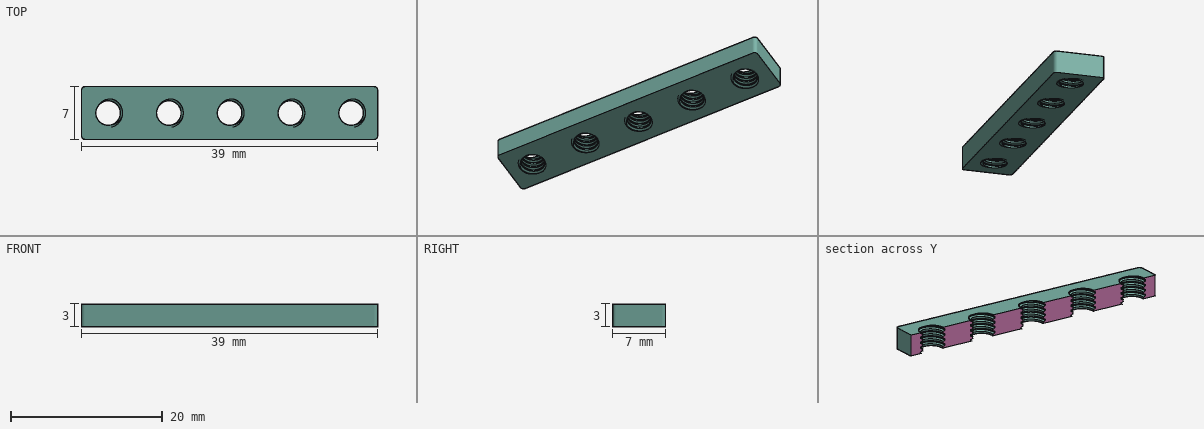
import cadquery as cq

length = 39.0
width = 7.0
height = 3.0
corner_radius = 0.45

hole_count = 5
hole_spacing = 8.0
bore_radius = 1.6

pitch = 0.7
groove_depth = 0.3
groove_root_width = 0.15
groove_mouth_width = 0.43
groove_angle = 30.0
turns_below_top = 6
tap_turns = turns_below_top + 1


def bar():
    return (
        cq.Workplane("XY")
        .box(length, width, height)
        .edges("|Z")
        .fillet(corner_radius)
    )


def helix_turn(radius, z):
    """One turn of the thread helix, starting at the given height."""
    return cq.Wire.makeHelix(pitch, pitch, radius).translate(cq.Vector(0, 0, z)).Edges()[0]


def helix_cap(z):
    """Helicoid from the axis out to one turn at the bore wall."""
    axis = cq.Edge.makeLine(cq.Vector(0, 0, z), cq.Vector(0, 0, z + pitch))
    return cq.Face.makeRuledSurface(axis, helix_turn(bore_radius, z))


def radial_cap(profile, z):
    """Flat half section between the axis and one pitch of the profile."""
    outline = [(0, 0)] + profile + [(0, pitch)]
    points = [cq.Vector(radius, 0, z + rise) for radius, rise in outline]
    return cq.Face.makeFromWires(cq.Wire.makePolygon(points, close=True))


def tap():
    """Solid of the bore and its thread groove, reaching past both faces of the bar."""
    half_mouth = groove_mouth_width / 2
    half_root = groove_root_width / 2
    groove_centre = pitch / 2
    outer_radius = bore_radius + groove_depth
    profile = [
        (bore_radius, 0),
        (bore_radius, groove_centre - half_mouth),
        (outer_radius, groove_centre - half_root),
        (outer_radius, groove_centre + half_root),
        (bore_radius, groove_centre + half_mouth),
        (bore_radius, pitch),
    ]
    tap_top = tap_turns * pitch
    faces = [
        helix_cap(0),
        radial_cap(profile, 0),
        helix_cap(tap_top),
        radial_cap(profile, tap_top),
    ]
    for turn in range(tap_turns):
        turn_z = turn * pitch
        for (radius_1, rise_1), (radius_2, rise_2) in zip(profile, profile[1:]):
            lower = helix_turn(radius_1, turn_z + rise_1)
            upper = helix_turn(radius_2, turn_z + rise_2)
            faces.append(cq.Face.makeRuledSurface(lower, upper))
    solid = cq.Solid.makeSolid(cq.Shell.makeShell(faces))
    start_z = height / 2 - turns_below_top * pitch
    return (
        cq.Workplane(obj=solid)
        .rotate((0, 0, 0), (0, 0, 1), groove_angle - 180)
        .translate((0, 0, start_z))
    )


result = bar()
hole_tap = tap()
for index in range(hole_count):
    hole_x = (index - (hole_count - 1) / 2) * hole_spacing
    result = result.cut(hole_tap.translate((hole_x, 0, 0)))